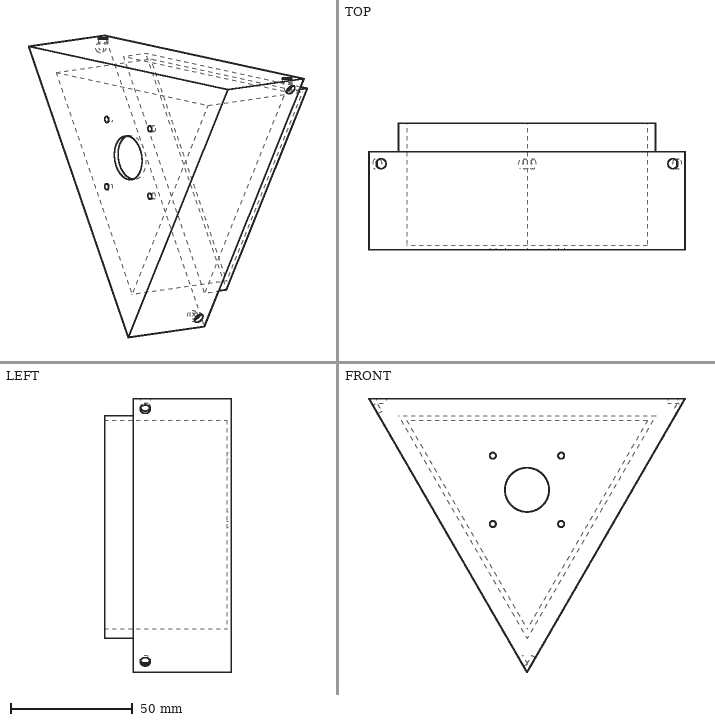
import cadquery as cq
import math

side = 129.9
total_depth = 52.0
rim_depth = 11.7
body_depth = total_depth - rim_depth
inradius = side / (2 * math.sqrt(3))

wall_thickness = 2.0

rim_inset = 7.0

center_hole_diameter = 18.0
mount_hole_diameter = 2.5
mount_hole_spacing = 28.0

corner_hole_diameter = 4.0
corner_hole_depth = 2.0
corner_hole_side_offset = 5.1
corner_hole_back_offset = 5.0


def triangular_prism(inset, front, depth):
    """Prism around the Y axis, its sides moved inward by inset from the main triangle."""
    radius = inradius - inset
    half_width = radius * math.sqrt(3)
    corners = [(-half_width, radius), (half_width, radius), (0, -2 * radius)]
    return cq.Workplane("XZ", origin=(0, front, 0)).polyline(corners).close().extrude(-depth)


def front_holes(diameter, points):
    """Cutters that pass through the front plate."""
    plane = cq.Workplane("XZ")
    return plane.pushPoints(points).circle(diameter / 2).extrude(-wall_thickness)


def corner_holes():
    """Two blind hole cutters in the top face, near its back corners."""
    hole_x = side / 2 - corner_hole_side_offset
    hole_y = body_depth - corner_hole_back_offset
    plane = cq.Workplane("XY", origin=(0, 0, inradius))
    points = [(-hole_x, hole_y), (hole_x, hole_y)]
    return plane.pushPoints(points).circle(corner_hole_diameter / 2).extrude(-corner_hole_depth)


result = triangular_prism(0, 0, body_depth)
result = result.union(triangular_prism(rim_inset, 0, total_depth))

cavity_inset = rim_inset + wall_thickness
result = result.cut(triangular_prism(cavity_inset, wall_thickness, total_depth - wall_thickness))

half_spacing = mount_hole_spacing / 2
mount_points = [(x, z) for x in (-half_spacing, half_spacing) for z in (-half_spacing, half_spacing)]
result = result.cut(front_holes(center_hole_diameter, [(0, 0)]))
result = result.cut(front_holes(mount_hole_diameter, mount_points))

for angle in (0, 120, 240):
    result = result.cut(corner_holes().rotate((0, 0, 0), (0, 1, 0), angle))